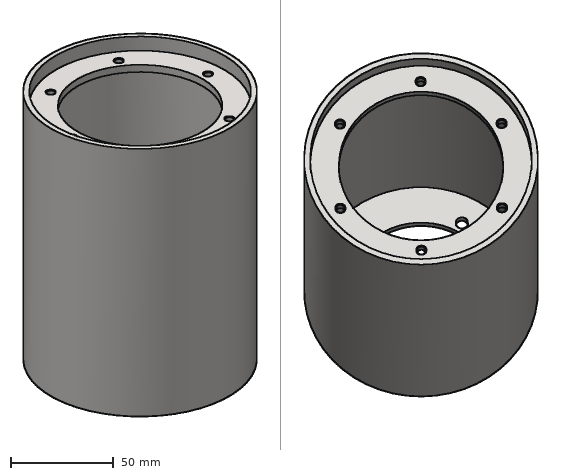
import cadquery as cq

height = 150.0
outer_radius = 57.0
inner_radius = 54.0

ring_recess = 8.0
ring_thickness = 4.0
ring_bore_radius = 40.0
screw_count = 6
screw_circle_radius = 45.5
screw_hole_radius = 2.1
screw_hole_chamfer = 0.5

floor_thickness = 4.0
floor_bore_radius = 35.0
vent_count = 4
vent_circle_radius = 40.0
vent_radius = 3.0


def annulus(outside, inside, thickness, base_z):
    """Flat ring or tube standing on base_z."""
    return (
        cq.Workplane("XY")
        .workplane(offset=base_z)
        .circle(outside)
        .circle(inside)
        .extrude(thickness)
    )


def hole_pattern(circle_radius, hole_radius, count, depth, base_z):
    """Cylinders evenly spaced on a circle, the first one on +X."""
    return (
        cq.Workplane("XY")
        .workplane(offset=base_z)
        .polarArray(circle_radius, 0, 360, count)
        .circle(hole_radius)
        .extrude(depth)
    )


shell = annulus(outer_radius, inner_radius, height, 0)

ring_base = height - ring_recess - ring_thickness
ring = annulus(outer_radius, ring_bore_radius, ring_thickness, ring_base)
ring = ring.cut(
    hole_pattern(screw_circle_radius, screw_hole_radius, screw_count, ring_thickness, ring_base)
)
screw_hole_mouths = cq.selectors.RadiusNthSelector(0)
ring = ring.faces(">Z").edges(screw_hole_mouths).chamfer(screw_hole_chamfer)

floor = annulus(outer_radius, floor_bore_radius, floor_thickness, 0)
floor = floor.cut(
    hole_pattern(vent_circle_radius, vent_radius, vent_count, floor_thickness, 0)
)

result = shell.union(ring).union(floor)